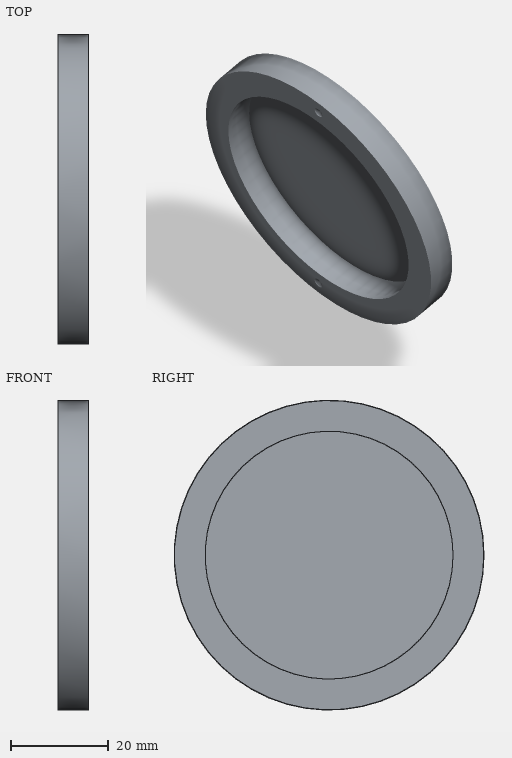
import cadquery as cq
import math

outer_diameter = 63.5
ring_thickness = 6.35
rim_width = 6.35
bore_diameter = outer_diameter - 2 * rim_width

disc_thickness = 0.1

cone_diameter = 1.9
cone_angle = 118.0
mouth_chamfer = 0.1
dimple_circle_radius = (outer_diameter - rim_width) / 2
dimple_sides = (1, -1)


def make_dimple(z):
    """Dimple shape along +X: a narrow chamfer at the near face, then a cone to a point."""
    cone_radius = cone_diameter / 2
    cone_depth = cone_radius / math.tan(math.radians(cone_angle / 2))
    axis = cq.Vector(1, 0, 0)
    mouth = cq.Vector(0, 0, z)
    cone_start = cq.Vector(mouth_chamfer, 0, z)
    chamfer = cq.Solid.makeCone(cone_radius + mouth_chamfer, cone_radius, mouth_chamfer, mouth, axis)
    cone = cq.Solid.makeCone(cone_radius, 0, cone_depth, cone_start, axis)
    return chamfer.fuse(cone)


def make_ring():
    """Flat ring with a conical dimple at the top and bottom of its rim."""
    ring = (
        cq.Workplane("YZ")
        .circle(outer_diameter / 2)
        .circle(bore_diameter / 2)
        .extrude(ring_thickness)
    )
    for side in dimple_sides:
        ring = ring.cut(cq.Workplane(make_dimple(side * dimple_circle_radius)))
    return ring


def make_disc():
    """Disc filling the bore, flush with the far face of the ring."""
    return (
        cq.Workplane("YZ")
        .workplane(offset=ring_thickness - disc_thickness)
        .circle(bore_diameter / 2)
        .extrude(disc_thickness)
    )


ring = make_ring()
disc = make_disc()

result = cq.Compound.makeCompound([ring.val(), disc.val()])